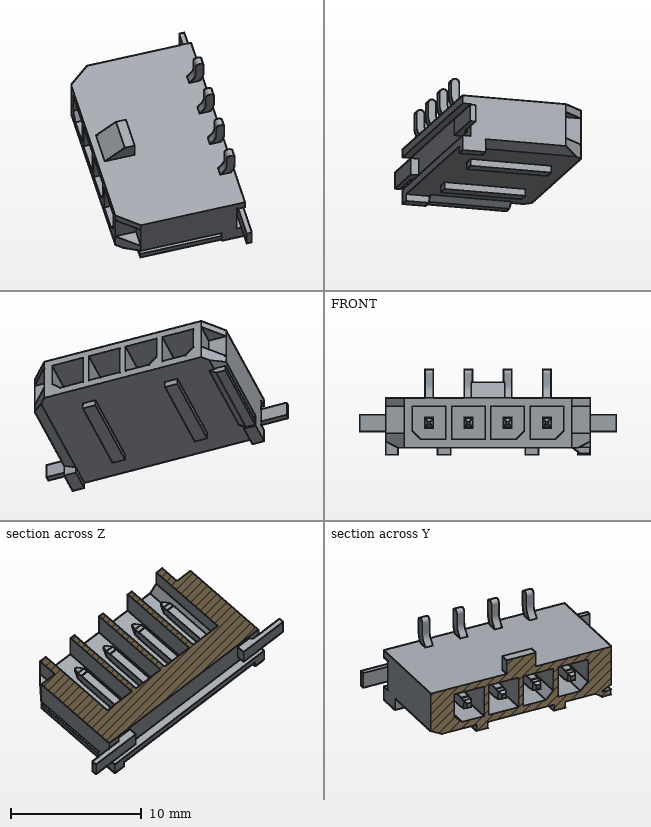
import cadquery as cq
import math


overall_width = 19.65
body_width = 15.68
body_depth = 9.92
body_height = 3.83
half_width = body_width / 2
mid_height = body_height / 2

corner_x = 1.41
corner_y = 1.65
recess_bottom = 1.12
recess_top = 3.2

contact_pitch = 3.0
contact_count = 4
socket_size = 2.55
socket_depth = 6.88
socket_chamfer = 0.65
left_keyed_sockets = (0,)
right_keyed_sockets = (2, 3)
metal_thickness = 0.65
pin_root_height = 0.83
pin_shaft_height = 0.7
pin_recess = 1.96
pin_root_start = 2.95
pin_taper = 0.59
pin_tip_size = 0.2
embed = 0.2

tail_height = 2.18
tail_bend_height = 0.95
tail_bend_radius = 0.92
tail_angle = math.radians(40)

slot_depth = metal_thickness
slot_height = 2.55
nail_thickness = 0.41
nail_height = 1.3
nail_bottom = 1.24
nail_bend_x = 7.07
nail_foot_width = 1.18

latch_width = 2.55
latch_height = 1.2
latch_front = 0.57
latch_crest = 2.16
latch_back = 2.95

edge_x = 0.96
edge_z = 0.5
block_length = 1.85
block_front = body_depth - block_length
foot_height = 0.53
rail_width = 1.02
rail_x = 3.36
rail_front = 1.61
rail_back = block_front
rib_inner_x = 6.46
rib_toe_x = 7.03
rib_outer_x = 7.8
rib_top_z = 0.05
rib_depth = 0.41


def box(x_range, y_range, z_range):
    """Axis-aligned box between the given limits."""
    (x0, x1), (y0, y1), (z0, z1) = x_range, y_range, z_range
    return cq.Workplane("XY").box(x1 - x0, y1 - y0, z1 - z0, centered=False).translate((x0, y0, z0))


def along_y(points, y_front, y_back):
    """Prism along Y from an outline of (x, z) points."""
    outline = cq.Workplane("XZ", origin=(0, y_front, 0)).polyline(points).close()
    return outline.extrude(y_front - y_back)


def both_sides(shape):
    """The shape together with its mirror image across X = 0."""
    return shape.union(shape.mirror("YZ"))


def make_body():
    plan = [
        (-half_width, body_depth),
        (-half_width, corner_y),
        (-half_width + corner_x, 0),
        (half_width - corner_x, 0),
        (half_width, corner_y),
        (half_width, body_depth),
    ]
    body = cq.Workplane("XY").polyline(plan).close().extrude(body_height)

    recess = box((half_width - corner_x, half_width), (0, corner_y), (recess_bottom, recess_top))
    edge = along_y(
        [(half_width - edge_x, 0), (half_width, 0), (half_width, edge_z)], 0, block_front
    )
    slot_bottom = mid_height - slot_height / 2
    slot = box(
        (-half_width, half_width),
        (body_depth - slot_depth, body_depth),
        (slot_bottom, slot_bottom + slot_height),
    )
    return body.cut(both_sides(recess)).cut(both_sides(edge)).cut(slot)


def make_socket(x, left_keyed, right_keyed):
    """Square socket cavity with a chamfered lower corner on each keyed side."""
    half = socket_size / 2
    left, right = x - half, x + half
    bottom, top = mid_height - half, mid_height + half
    points = [(left, top), (right, top)]
    if right_keyed:
        points += [(right, bottom + socket_chamfer), (right - socket_chamfer, bottom)]
    else:
        points.append((right, bottom))
    if left_keyed:
        points += [(left + socket_chamfer, bottom), (left, bottom + socket_chamfer)]
    else:
        points.append((left, bottom))
    return along_y(points, 0, socket_depth)


def make_pin(x):
    """Contact pin with a taller root and a pyramid tip, standing on the socket floor."""
    shaft_front = pin_recess + pin_taper
    side = (x - metal_thickness / 2, x + metal_thickness / 2)
    root = box(
        side,
        (pin_root_start, socket_depth + embed),
        (mid_height - pin_root_height / 2, mid_height + pin_root_height / 2),
    )
    shaft = box(
        side,
        (shaft_front, socket_depth),
        (mid_height - pin_shaft_height / 2, mid_height + pin_shaft_height / 2),
    )
    tip = (
        cq.Workplane("XZ", origin=(x, shaft_front, mid_height))
        .rect(metal_thickness, pin_shaft_height)
        .workplane(offset=pin_taper)
        .rect(pin_tip_size, pin_tip_size)
        .loft(combine=True)
    )
    return root.union(shaft).union(tip)


def make_tail(x):
    """Solder tail: sloped out of the top face, bent upright, with a rounded end."""
    outer_radius = tail_bend_radius + metal_thickness
    inner_y = body_depth - metal_thickness
    bend_y = inner_y - tail_bend_radius
    bend_z = body_height + tail_bend_height
    cap_z = body_height + tail_height - metal_thickness / 2
    foot_z = body_height - embed

    def on_bend(radius, angle):
        return (bend_y + radius * math.cos(angle), bend_z - radius * math.sin(angle))

    def at_foot(bend_end):
        y, z = bend_end
        return (y - (z - foot_z) * math.tan(tail_angle), foot_z)

    outer_end = on_bend(outer_radius, tail_angle)
    inner_end = on_bend(tail_bend_radius, tail_angle)
    return (
        cq.Workplane("YZ", origin=(x - metal_thickness / 2, 0, 0))
        .moveTo(inner_y, bend_z)
        .lineTo(inner_y, cap_z)
        .threePointArc((inner_y + metal_thickness / 2, body_height + tail_height), (body_depth, cap_z))
        .lineTo(body_depth, bend_z)
        .threePointArc(on_bend(outer_radius, tail_angle / 2), outer_end)
        .lineTo(*at_foot(outer_end))
        .lineTo(*at_foot(inner_end))
        .lineTo(*inner_end)
        .threePointArc(on_bend(tail_bend_radius, tail_angle / 2), (inner_y, bend_z))
        .close()
        .extrude(metal_thickness)
    )


def make_nail():
    """Flat nail reaching out sideways, its inner end bevelled forward onto the slot floor."""
    nail_front = body_depth - nail_thickness
    floor_y = body_depth - slot_depth
    foot_outer_x = nail_bend_x - (slot_depth - nail_thickness)
    foot_inner_x = foot_outer_x - nail_foot_width
    plan = [
        (overall_width / 2, body_depth),
        (overall_width / 2, nail_front),
        (nail_bend_x, nail_front),
        (foot_outer_x, floor_y),
        (foot_inner_x, floor_y),
        (foot_inner_x, body_depth),
    ]
    return cq.Workplane("XY", origin=(0, 0, nail_bottom)).polyline(plan).close().extrude(nail_height)


def make_latch():
    profile = [
        (latch_front, body_height),
        (latch_crest, body_height + latch_height),
        (latch_back, body_height + latch_height),
        (latch_back, body_height),
    ]
    return cq.Workplane("YZ").polyline(profile).close().extrude(latch_width / 2, both=True)


def make_feet():
    block = box((half_width - edge_x, half_width), (block_front, body_depth), (-foot_height, edge_z))
    rail = box(
        (rail_x - rail_width / 2, rail_x + rail_width / 2), (rail_front, rail_back), (-foot_height, 0)
    )
    rib_section = [
        (rib_inner_x, 0),
        (rib_toe_x, -rib_depth),
        (rib_outer_x, -rib_depth),
        (rib_outer_x, rib_top_z),
        (half_width - edge_x + rib_top_z * edge_x / edge_z, rib_top_z),
        (half_width - edge_x, 0),
    ]
    rib = along_y(rib_section, rail_front, rail_back)
    return both_sides(block.union(rail)).union(rib)


result = make_body().union(make_feet()).union(make_latch()).union(both_sides(make_nail()))

for index in range(contact_count):
    contact_x = (index - (contact_count - 1) / 2) * contact_pitch
    socket = make_socket(contact_x, index in left_keyed_sockets, index in right_keyed_sockets)
    result = result.cut(socket).union(make_pin(contact_x)).union(make_tail(contact_x))